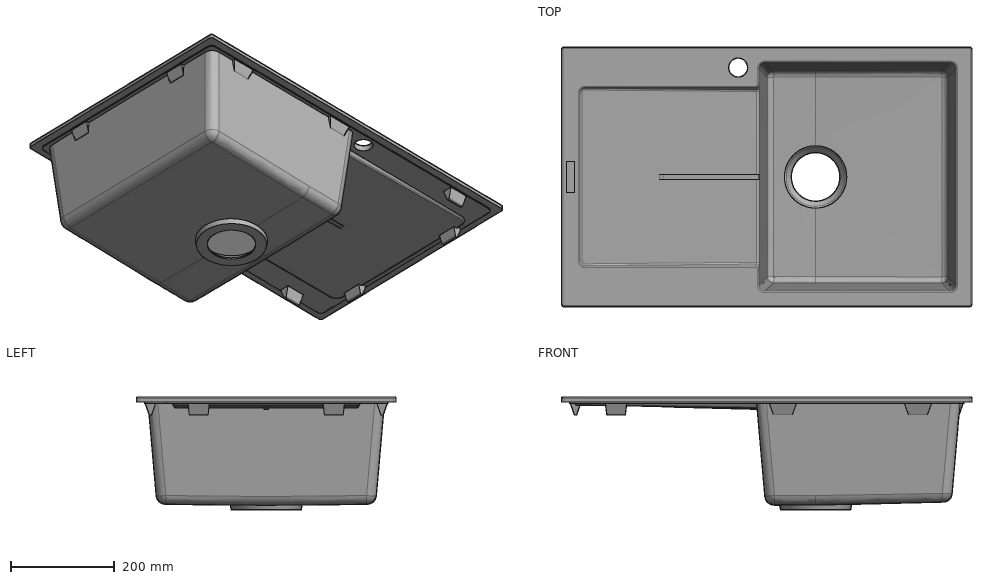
import cadquery as cq
import math


reach = 1.0

length = 790.0
width = 500.0
total_height = 217.54
rim_height = 10.0
rim_corner_radius = 5.0
rim_edge_radius = 3.0
underplate_inset = 15.5
underplate_bottom = -12.5
underplate_corner_radius = 10.0

wall_draft = 5.0
bowl_right = 364.5
bowl_left = -15.2
bowl_width = 440.0
bowl_corner_radius = 12.0
bowl_floor_radius = 12.0
bowl_rim_radius = 3.0
wall_thickness = 8.7
board_side_wall_thickness = 5.5
shell_corner_radius = 19.0
shell_floor_radius = 18.5
loft_depth = 230.0

floor_depth = 199.5
floor_thickness = 9.0
floor_sag = 3.0
floor_sag_right = 0.5
floor_rise = 6.8

drain_x = 94.0
drain_hole_radius = 46.5
drain_cone_radius = 56.5
drain_mouth_radius = 60.0
drain_lip = 3.0
drain_throat = 3.0
drain_boss_radius = 67.5
drain_boss_top_radius = 70.0
drain_boss_height = 12.0

board_left = -361.0
board_right = 0.0
board_width = 345.0
board_corner_radius = 12.0
board_wall_angle = 30.0
board_floor_radius = 4.0
board_depth_left = 5.0
board_depth_right = 10.6
board_thickness = 11.0
board_pan_offset = 10.0
board_lip_radius = 6.0

groove_left = -206.5
groove_width = 9.5
groove_depth_left = 0.8
groove_depth_right = 3.0
groove_ramp = 7.0

tap_x = -55.0
tap_y = 210.5
tap_diameter = 36.0
badge_x = -377.5
badge_length = 59.0
badge_width = 15.0
badge_depth = 0.5

pad_bottom = -35.0
board_pad_length = 42.0
bowl_pad_length = 54.0
pad_bottom_length = 36.0
pad_top_width = 22.0
pad_bottom_width = 4.5
pad_edge_radius = 1.5
side_pad_x = 368.0
side_pad_y = 130.0
long_pad_y = 223.0
long_pads = ((-290.0, board_pad_length), (31.0, bowl_pad_length), (291.0, bowl_pad_length))


def slab(size_x, size_y, corner_radius, top, bottom):
    """Flat plate with rounded corners, centred on the Z axis."""
    plate = cq.Workplane("XY").workplane(offset=bottom).rect(size_x, size_y).extrude(top - bottom)
    return plate.edges("|Z").fillet(corner_radius)


def tapered_block(left, right, size_y, corner_radius):
    """Downward block with drafted walls and corners of constant radius."""
    shrink = 2 * loft_depth * math.tan(math.radians(wall_draft))
    size_x = right - left
    upper = cq.Sketch().rect(size_x, size_y).vertices().fillet(corner_radius)
    lower = cq.Sketch().rect(size_x - shrink, size_y - shrink).vertices().fillet(corner_radius)
    lower = lower.moved(cq.Location((0, 0, -loft_depth)))
    base = cq.Workplane("XY").center((left + right) / 2, 0)
    return base.placeSketch(upper, lower).loft(ruled=True)


def floor_section(plane, edge_z, sag):
    """Closed outline across the bowl whose lower side is an arc sagging in the middle."""
    half = width / 2
    return (
        plane.moveTo(-half, 0)
        .lineTo(-half, edge_z)
        .threePointArc((0, edge_z - sag), (half, edge_z))
        .lineTo(half, 0)
        .close()
    )


def above_floor(depth):
    """Everything above a bowl floor lying at the given depth beside the drain."""
    edge_z = floor_sag - depth
    left = bowl_left - 2 * wall_thickness
    right = bowl_right + 2 * wall_thickness
    level = floor_section(cq.Workplane("YZ", origin=(left, 0, 0)), edge_z, floor_sag)
    level = level.extrude(drain_x - left)
    climb = floor_section(cq.Workplane("YZ", origin=(drain_x, 0, 0)), edge_z, floor_sag)
    climb = climb.workplane(offset=right - drain_x)
    climb = floor_section(climb, edge_z - floor_sag + floor_rise, floor_sag_right).loft(ruled=True)
    return level.union(climb)


def is_floor_border(edge, depth):
    """True for edges around a bowl floor; false for wall edges and the crease in the floor."""
    middle = edge.Center()
    on_crease = abs(middle.x - drain_x) < reach and abs(middle.y) < reach
    return middle.z < -depth + 2 * floor_rise and not on_crease


def rounded_bowl(left, right, size_y, corner_radius, depth, floor_radius):
    """Drafted block ending at the bowl floor, with the edges around its floor rounded."""
    block = tapered_block(left, right, size_y, corner_radius).intersect(above_floor(depth))
    floor_edges = [edge for edge in block.edges().vals() if is_floor_border(edge, depth)]
    return block.newObject(floor_edges).fillet(floor_radius)


def board_prism(left, right, size_y, depth_left, depth_right):
    """Prism from the top face down to a bottom that slopes evenly from its left to its right end."""
    profile = [(left, 0), (left, -depth_left), (right, -depth_right), (right, 0)]
    return cq.Workplane("XZ", origin=(0, size_y / 2, 0)).polyline(profile).close().extrude(size_y)


def board_pan(offset, top, lowering):
    """Drainboard pan with slanted walls, its outline grown and its floor lowered as given."""
    left = board_left - offset
    outline = cq.Sketch().rect(2 * -left, board_width + 2 * offset)
    outline = outline.vertices().fillet(board_corner_radius + offset)
    pan = cq.Workplane("XY").workplane(offset=top).placeSketch(outline)
    pan = pan.extrude(-(board_depth_right + lowering + top), taper=board_wall_angle)
    slope = board_prism(
        left, board_right, width, board_depth_left + lowering, board_depth_right + lowering
    )
    return pan.intersect(slope).faces("<Z").edges("not(>X)").fillet(board_floor_radius)


def groove_bar(lowering):
    """Bar along the middle of the drainboard, deepening towards the bowl, with a ramp at its left end."""
    ramp_end = groove_left + groove_ramp
    board_slope = (board_depth_right - board_depth_left) / (board_right - board_left)
    start_depth = board_depth_left + (groove_left - board_left) * board_slope + lowering
    ramp_depth = start_depth + groove_ramp * board_slope + groove_depth_left
    end_depth = board_depth_right + groove_depth_right + lowering
    ramp = board_prism(groove_left, ramp_end, groove_width, start_depth, ramp_depth)
    bar = board_prism(ramp_end, board_right, groove_width, ramp_depth, end_depth)
    return ramp.union(bar)


def clip_pad(x, y, top_length, turn):
    """Wedge under the rim, turned as given, narrowing to a rounded edge below."""
    pad = (
        cq.Workplane("XY")
        .transformed(offset=(x, y, -rim_height), rotate=(0, 0, turn))
        .rect(top_length, pad_top_width)
        .workplane(offset=pad_bottom + rim_height)
        .rect(pad_bottom_length, pad_bottom_width)
        .loft(ruled=True)
    )
    return pad.faces("<Z").edges().fillet(pad_edge_radius)


def drain_boss():
    """Round boss under the bowl around the drain, slightly narrower at its lower end."""
    return (
        cq.Workplane("XY")
        .workplane(offset=-total_height)
        .center(drain_x, 0)
        .circle(drain_boss_radius)
        .workplane(offset=drain_boss_height)
        .circle(drain_boss_top_radius)
        .loft()
    )


def drain_opening():
    """Turned opening: a straight throat, a cone above it and a wider mouth at the bowl floor."""
    mouth_z = -floor_depth + drain_lip
    profile = [
        (0, -total_height),
        (drain_hole_radius, -total_height),
        (drain_hole_radius, -total_height + drain_throat),
        (drain_cone_radius, -floor_depth - drain_lip),
        (drain_mouth_radius, -floor_depth),
        (drain_mouth_radius, mouth_z),
        (0, mouth_z),
    ]
    opening = cq.Workplane("XZ").polyline(profile).close().revolve(360, (0, 0), (0, 1))
    return opening.translate((drain_x, 0, 0))


def sink_body():
    """Everything that carries material: rim, bowl shell, drainboard pan, pads and drain boss."""
    rim = slab(length, width, rim_corner_radius, 0, -rim_height)
    body = rim.faces(">Z").edges().fillet(rim_edge_radius)
    underplate = slab(
        length - 2 * underplate_inset,
        width - 2 * underplate_inset,
        underplate_corner_radius,
        -rim_height,
        underplate_bottom,
    )
    shell = rounded_bowl(
        bowl_left - board_side_wall_thickness,
        bowl_right + wall_thickness,
        bowl_width + 2 * wall_thickness,
        shell_corner_radius,
        floor_depth + floor_thickness,
        shell_floor_radius,
    )
    body = body.union(underplate).union(shell).union(drain_boss())
    body = body.union(board_pan(board_pan_offset, -rim_height, board_thickness))
    body = body.union(groove_bar(board_thickness))
    for side in (-1, 1):
        for x, top_length in long_pads:
            body = body.union(clip_pad(x, side * long_pad_y, top_length, 0))
        for end in (-1, 1):
            body = body.union(clip_pad(end * side_pad_x, side * side_pad_y, board_pad_length, 90))
    return body


def edges_between(sink, low, high):
    """Edges of the sink whose centre lies in the box between two corners."""
    return sink.edges(cq.selectors.BoxSelector(low, high))


def round_openings(sink):
    """Round the step from drainboard to bowl with the corners beside it, then the upper rim."""
    left = bowl_left - reach
    step_low = (left, -reach, -board_depth_right - reach)
    step_high = (bowl_left + 2 * reach, reach, -reach)
    sink = edges_between(sink, step_low, step_high).fillet(board_lip_radius)
    half_width = bowl_width / 2 + reach
    rim_low = (left, -half_width, -reach)
    rim_high = (bowl_right + reach, half_width, reach)
    return edges_between(sink, rim_low, rim_high).fillet(bowl_rim_radius)


def cut_openings(body):
    """Cut the bowl, the drainboard, the groove, the drain, the tap hole and the badge recess."""
    bowl = rounded_bowl(
        bowl_left, bowl_right, bowl_width, bowl_corner_radius, floor_depth, bowl_floor_radius
    )
    sink = body.cut(bowl.union(board_pan(0, 0, 0))).cut(drain_opening())
    sink = round_openings(sink)
    sink = sink.cut(groove_bar(0))
    tap_hole = cq.Workplane("XY").center(tap_x, tap_y).circle(tap_diameter / 2).extrude(-total_height)
    badge = cq.Workplane("XY").center(badge_x, 0).rect(badge_width, badge_length).extrude(-badge_depth)
    return sink.cut(tap_hole).cut(badge)


result = cut_openings(sink_body())